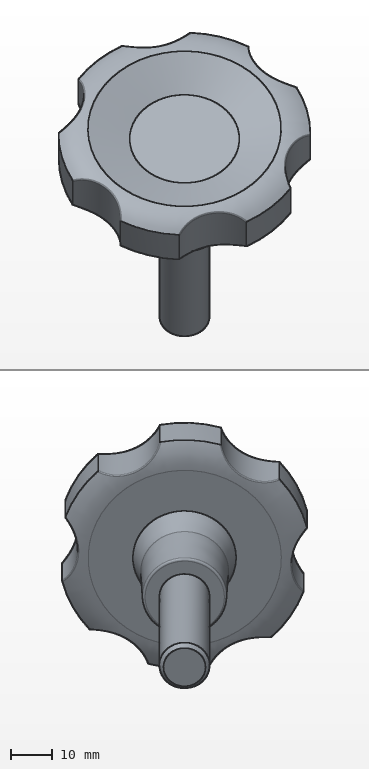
import cadquery as cq

total_height = 76.0
head_height = 13.8
hub_height = 22.2
head_bottom = total_height - head_height
hub_bottom = head_bottom - hub_height

head_radius = 30.0
crown_radius = 23.0
shoulder_drop = 2.0
shoulder_arc_radius = ((head_radius - crown_radius) ** 2 + shoulder_drop ** 2) / (2 * shoulder_drop)

dish_floor_radius = 13.1
dish_depth = 4.0

scallop_count = 6
scallop_radius = 11.8
scallop_floor = 25.5
scallop_edge_round = 0.3

hub_top_radius = 12.3
hub_waist_radius = 10.5
hub_bottom_radius = 10.0
hub_waist_drop = 7.7
hub_edge_round = 0.6

stud_diameter = 12.0
stud_chamfer = 1.0


def select_runout_edges(body, low, high):
    """Non-circular edges, between two heights, where the scallops run out through a shoulder."""
    shoulder_zone = cq.selectors.BoxSelector(
        (-head_radius, -head_radius, low),
        (head_radius, head_radius, high),
    )
    return body.edges(shoulder_zone).edges("not %CIRCLE")


def make_head():
    """Disc with arc shoulders, cut by evenly spaced scallops."""
    blank = (
        cq.Workplane("XZ")
        .moveTo(0, head_bottom)
        .lineTo(crown_radius, head_bottom)
        .radiusArc((head_radius, head_bottom + shoulder_drop), -shoulder_arc_radius)
        .lineTo(head_radius, total_height - shoulder_drop)
        .radiusArc((crown_radius, total_height), -shoulder_arc_radius)
        .lineTo(0, total_height)
        .close()
        .revolve(360, (0, 0, 0), (0, 1, 0))
    )
    scallops = (
        cq.Workplane("XY", origin=(0, 0, head_bottom))
        .polarArray(scallop_floor + scallop_radius, 0, 360, scallop_count)
        .circle(scallop_radius)
        .extrude(head_height)
    )
    scalloped = blank.cut(scallops)
    upper_edges = select_runout_edges(scalloped, total_height - shoulder_drop, total_height)
    lower_edges = select_runout_edges(scalloped, head_bottom, head_bottom + shoulder_drop)
    return upper_edges.add(lower_edges).fillet(scallop_edge_round)


def make_dish():
    """Conical recess with a flat floor."""
    return (
        cq.Workplane("XY", origin=(0, 0, total_height))
        .circle(crown_radius)
        .workplane(offset=-dish_depth)
        .circle(dish_floor_radius)
        .loft(ruled=True)
    )


def make_hub():
    """Flared neck above a slightly tapered collar."""
    waist_height = head_bottom - hub_waist_drop
    hub = (
        cq.Workplane("XZ")
        .moveTo(0, hub_bottom)
        .lineTo(hub_bottom_radius, hub_bottom)
        .lineTo(hub_waist_radius, waist_height)
        .lineTo(hub_top_radius, head_bottom)
        .lineTo(0, head_bottom)
        .close()
        .revolve(360, (0, 0, 0), (0, 1, 0))
    )
    return hub.faces("<Z").edges().fillet(hub_edge_round)


def make_stud():
    """Plain shank with a chamfered tip."""
    stud = cq.Workplane("XY").circle(stud_diameter / 2).extrude(hub_bottom)
    return stud.faces("<Z").chamfer(stud_chamfer)


result = make_head().cut(make_dish()).union(make_hub()).union(make_stud())